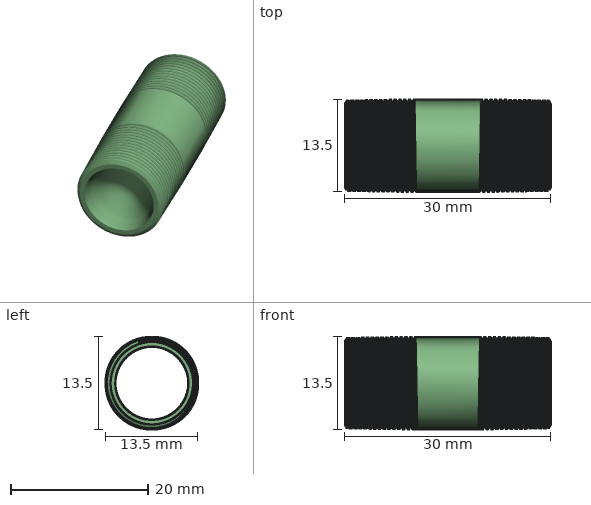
import math

import cadquery as cq


length = 30.0
outer_radius = 6.75
bore_radius = 5.3
taper_start = 4.69
taper_half_angle = 1.0

end_face_radius = 6.0
chamfer_angle = 30.0

pitch = 0.7
thread_half_angle = 30.0
root_flat = pitch / 8
sharp_v_height = pitch / (2 * math.tan(math.radians(thread_half_angle)))
groove_depth = 3 / 4 * sharp_v_height
groove_overshoot = 0.05
turns = 15

half_length = length / 2
taper_slope = math.tan(math.radians(taper_half_angle))
chamfer_slope = math.tan(math.radians(chamfer_angle))

taper_end_radius = outer_radius - (half_length - taper_start) * taper_slope
chamfer_height = (taper_end_radius - end_face_radius) / (1 - taper_slope * chamfer_slope)
chamfer_start = half_length - chamfer_height * chamfer_slope
chamfer_radius = end_face_radius + chamfer_height


def make_blank():
    """Unthreaded pipe: straight middle, tapered and chamfered ends, through bore."""
    return (
        cq.Workplane("XZ")
        .polyline(
            [
                (-half_length, bore_radius),
                (-half_length, end_face_radius),
                (-chamfer_start, chamfer_radius),
                (-taper_start, outer_radius),
                (taper_start, outer_radius),
                (chamfer_start, chamfer_radius),
                (half_length, end_face_radius),
                (half_length, bore_radius),
            ]
        )
        .close()
        .revolve(360, (0, 0, 0), (1, 0, 0))
    )


def make_groove_cutter():
    """Helical cutter for the -X thread, starting at the bottom (-Z) and winding outward."""
    root_radius = outer_radius - groove_depth
    top_radius = outer_radius + groove_overshoot
    root_half = root_flat / 2
    top_half = root_half + (top_radius - root_radius) * math.tan(math.radians(thread_half_angle))
    helix = cq.Wire.makeHelix(pitch, turns * pitch, outer_radius)
    cutter = (
        cq.Workplane("XZ")
        .polyline(
            [
                (root_radius, -root_half),
                (top_radius, -top_half),
                (top_radius, top_half),
                (root_radius, root_half),
            ]
        )
        .close()
        .sweep(cq.Workplane(helix), isFrenet=True)
    )
    thread_frame = cq.Plane(origin=(-taper_start, 0, 0), xDir=(0, 0, -1), normal=(-1, 0, 0))
    return cq.Workplane(cutter.val().moved(cq.Location(thread_frame)))


groove_cutter = make_groove_cutter()
result = make_blank().cut(groove_cutter).cut(groove_cutter.mirror("YZ"))